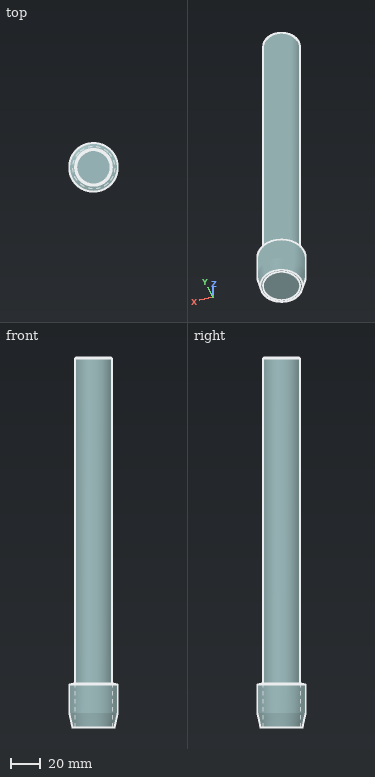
import cadquery as cq

rod_length = 250.0
rod_radius = 12.5
rod_top_chamfer = 1.0

collar_radius = 16.5
collar_height = 30.0
collar_foot_radius = 14.2
collar_foot_height = 10.0
collar_top_slope_height = 1.0


def make_rod():
    """Round bar with a chamfered top edge."""
    bar = cq.Workplane("XY").circle(rod_radius).extrude(rod_length)
    return bar.faces(">Z").chamfer(rod_top_chamfer)


def make_collar():
    """Revolved ring with a tapered foot and a shallow conical top face."""
    profile = (
        cq.Workplane("XZ")
        .moveTo(rod_radius, 0)
        .lineTo(collar_foot_radius, 0)
        .lineTo(collar_radius, collar_foot_height)
        .lineTo(collar_radius, collar_height - collar_top_slope_height)
        .lineTo(rod_radius, collar_height)
        .close()
    )
    return profile.revolve(360, (0, 0, 0), (0, 1, 0))


rod = make_rod()
collar = make_collar()
result = cq.Compound.makeCompound([rod.val(), collar.val()])